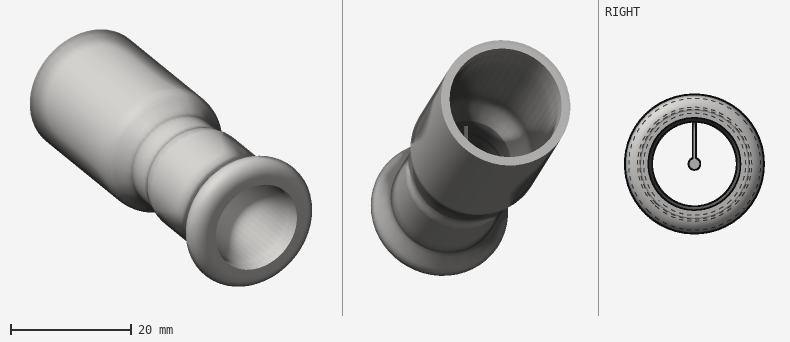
import cadquery as cq
import math

length = 59.0
wall = 1.5

tube_radius = 11.0
neck_radius = 8.5
socket_radius = 9.15

tube_end = 25.55
neck_start = 31.25
neck_end = 36.5
socket_start = 39.05
flare_start = 52.05

shoulder_angle = math.radians(31)
shoulder_radius = 5.15

bead_diameter = 23.2
bead_radius = 2.6
flare_angle = math.radians(35)

disc_diameter = 2.0
strut_width = 0.6
hanger_thickness = 0.6


def arc_point(center, radius, angle):
    """Point on an arc, with the angle measured from the radial direction towards +X."""
    return (center[0] + radius * math.sin(angle), center[1] + radius * math.cos(angle))


def half_profile(inset):
    """Outline from the axis out to the wall and along it to the socket, inset from the outer surface."""
    shoulder_center = (tube_end, tube_radius - shoulder_radius)
    shoulder_arc = shoulder_radius - inset
    cone_shift = inset * math.tan(shoulder_angle / 2)
    rise = socket_radius - neck_radius
    run = socket_start - neck_end
    round_radius = (run**2 + rise**2) / (2 * rise)
    round_angle = math.asin(run / round_radius)
    round_center = (socket_start, socket_radius - inset - round_radius)
    return (
        cq.Workplane("XY")
        .lineTo(0, tube_radius - inset)
        .lineTo(tube_end, tube_radius - inset)
        .threePointArc(
            arc_point(shoulder_center, shoulder_arc, shoulder_angle / 2),
            arc_point(shoulder_center, shoulder_arc, shoulder_angle),
        )
        .lineTo(neck_start - cone_shift, neck_radius - inset)
        .lineTo(neck_end, neck_radius - inset)
        .threePointArc(
            arc_point(round_center, round_radius, -round_angle / 2),
            (socket_start, socket_radius - inset),
        )
    )


def revolve_about_x(profile):
    return profile.lineTo(length, 0).close().revolve(360, (0, 0, 0), (1, 0, 0))


def make_body():
    bead_center = (length - bead_radius, bead_diameter / 2 - bead_radius)
    outer = (
        half_profile(0)
        .lineTo(flare_start, socket_radius)
        .lineTo(*arc_point(bead_center, bead_radius, -flare_angle))
        .threePointArc(
            arc_point(bead_center, bead_radius, 0),
            arc_point(bead_center, bead_radius, math.pi / 2),
        )
    )
    bore = half_profile(wall).lineTo(length, socket_radius - wall)
    return revolve_about_x(outer).cut(revolve_about_x(bore))


def make_hanger():
    hanger_start = (neck_start + neck_end - hanger_thickness) / 2
    strut_height = neck_radius - wall / 2
    plane = cq.Workplane("YZ", origin=(hanger_start, 0, 0))
    disc = plane.circle(disc_diameter / 2).extrude(hanger_thickness)
    strut = plane.center(0, strut_height / 2).rect(strut_width, strut_height).extrude(hanger_thickness)
    return disc.union(strut)


result = make_body().union(make_hanger())